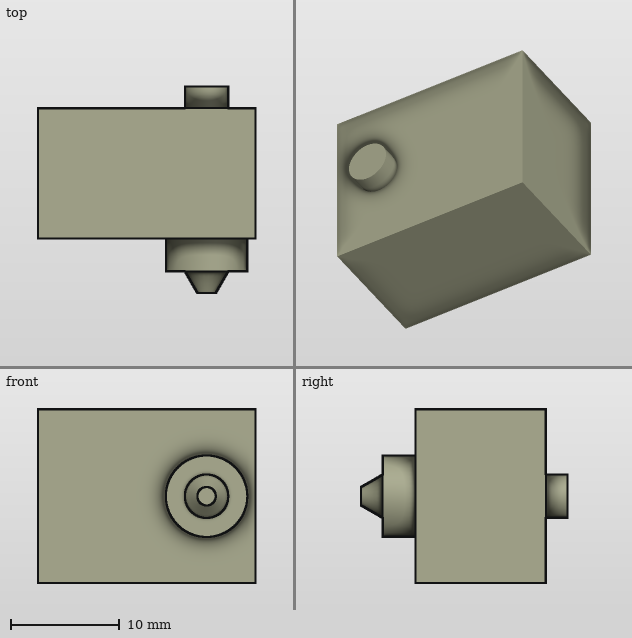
import cadquery as cq

block_width = 20.0
block_depth = 12.0
block_height = 16.0

axis_x = 5.5
collar_diameter = 7.5
collar_length = 3.0
cone_base_diameter = 4.0
cone_tip_diameter = 1.7
cone_length = 2.0
stub_diameter = 4.0
stub_length = 2.0

front_y = -block_depth / 2
back_y = block_depth / 2
collar_end_y = front_y - collar_length
tip_y = collar_end_y - cone_length
stub_end_y = back_y + stub_length


def make_block():
    return cq.Workplane("XY").box(block_width, block_depth, block_height)


def make_turned_parts():
    """Cone, collar and rear stub as one revolved profile running through the block."""
    collar_radius = collar_diameter / 2
    cone_base_radius = cone_base_diameter / 2
    stub_radius = stub_diameter / 2
    profile = (
        cq.Workplane("XY")
        .moveTo(0, tip_y)
        .lineTo(cone_tip_diameter / 2, tip_y)
        .lineTo(cone_base_radius, collar_end_y)
        .lineTo(collar_radius, collar_end_y)
        .lineTo(collar_radius, front_y)
        .lineTo(stub_radius, front_y)
        .lineTo(stub_radius, stub_end_y)
        .lineTo(0, stub_end_y)
        .close()
    )
    return profile.revolve(360, (0, 0, 0), (0, 1, 0)).translate((axis_x, 0, 0))


result = make_block().union(make_turned_parts())